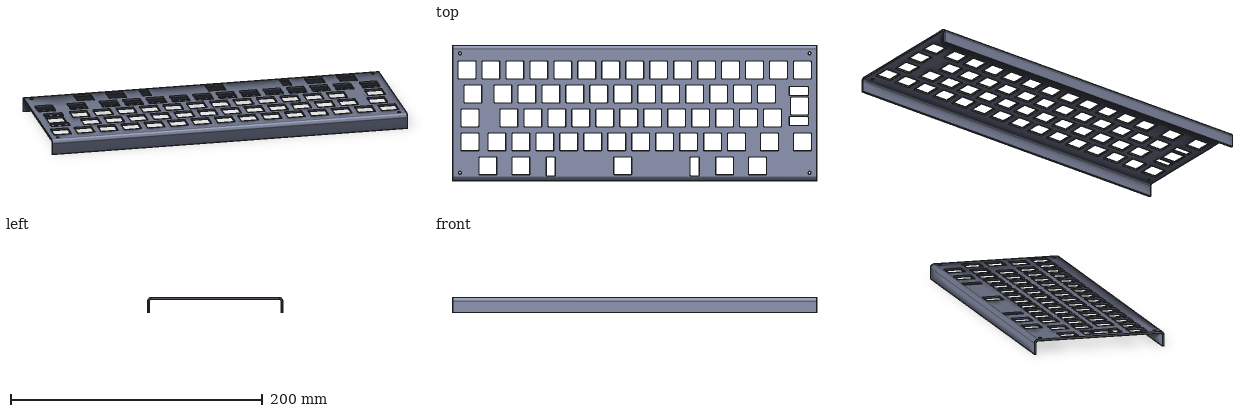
import cadquery as cq

LENGTH = 289.4
WIDTH = 107.58
HEIGHT = 12.08
THICKNESS = 1.5
INNER_BEND_RADIUS = 1.5
OUTER_BEND_RADIUS = INNER_BEND_RADIUS + THICKNESS

CUTTER_HEIGHT = OUTER_BEND_RADIUS
CUTTER_BASE_Z = HEIGHT / 2 - CUTTER_HEIGHT

KEY_UNIT = 19.05
FIRST_KEY_X = -133.39
FIRST_KEY_Y = 34.225
SWITCH_SIZE = 14.0
CUTOUT_CORNER_RADIUS = 0.5

KEY_ROWS = [
    [(0, 15)],
    [(0.25, 1), (1.5, 12)],
    [(0.125, 1), (1.75, 12)],
    [(0.125, 1), (1.25, 11), (12.625, 1), (14, 1)],
    [(0.875, 1), (2.25, 1), (6.5, 1), (10.75, 1), (12.125, 1)],
]
ENTER_COLUMN = 13.875
ENTER_ROW = 1.5
SPACE_COLUMN = 6.5
SPACE_ROW = 4

STABILIZER_WIDTH = 7.0
STABILIZER_LENGTH = 15.0
STABILIZER_OFFSET = 0.5
SPACE_STABILIZER_REACH = 3 * KEY_UNIT
ENTER_STABILIZER_REACH = 11.95

HOLE_DIAMETER = 2.2
HOLE_SPACING_X = 278.0
HOLE_SPACING_Y = 95.0


def bent_sheet():
    """Flat top plate with a flange bent down along each long edge."""
    outer = (
        cq.Workplane("XY")
        .box(LENGTH, WIDTH, HEIGHT)
        .edges("|X and >Z")
        .fillet(OUTER_BEND_RADIUS)
    )
    inner = (
        cq.Workplane("XY")
        .box(LENGTH, WIDTH - 2 * THICKNESS, HEIGHT)
        .edges("|X and >Z")
        .fillet(INNER_BEND_RADIUS)
        .translate((0, 0, -THICKNESS))
    )
    return outer.cut(inner)


def key_position(column, row):
    """Center of the key at a grid column and row."""
    return (FIRST_KEY_X + column * KEY_UNIT, FIRST_KEY_Y - row * KEY_UNIT)


def switch_positions():
    """Centers of all switch cutouts, including the two-row enter key."""
    positions = [key_position(ENTER_COLUMN, ENTER_ROW)]
    for row, runs in enumerate(KEY_ROWS):
        for first_column, count in runs:
            for step in range(count):
                positions.append(key_position(first_column + step, row))
    return positions


def cutouts(positions, size_x, size_y):
    """Round-cornered rectangular cutters reaching down through the top plate."""
    return (
        cq.Workplane("XY")
        .workplane(offset=CUTTER_BASE_Z)
        .pushPoints(positions)
        .rect(size_x, size_y)
        .extrude(CUTTER_HEIGHT)
        .edges("|Z")
        .fillet(CUTOUT_CORNER_RADIUS)
    )


def space_stabilizers():
    """Upright slots left and right of the space bar switch."""
    x, y = key_position(SPACE_COLUMN, SPACE_ROW)
    positions = [(x + side * SPACE_STABILIZER_REACH, y - STABILIZER_OFFSET) for side in (-1, 1)]
    return cutouts(positions, STABILIZER_WIDTH, STABILIZER_LENGTH)


def enter_stabilizers():
    """Sideways slots above and below the enter key switch."""
    x, y = key_position(ENTER_COLUMN, ENTER_ROW)
    positions = [(x - STABILIZER_OFFSET, y + side * ENTER_STABILIZER_REACH) for side in (-1, 1)]
    return cutouts(positions, STABILIZER_LENGTH, STABILIZER_WIDTH)


def mounting_holes():
    """Round cutters at the four corners of the top plate."""
    return (
        cq.Workplane("XY")
        .workplane(offset=CUTTER_BASE_Z)
        .rect(HOLE_SPACING_X, HOLE_SPACING_Y, forConstruction=True)
        .vertices()
        .circle(HOLE_DIAMETER / 2)
        .extrude(CUTTER_HEIGHT)
    )


result = (
    bent_sheet()
    .cut(cutouts(switch_positions(), SWITCH_SIZE, SWITCH_SIZE))
    .cut(space_stabilizers())
    .cut(enter_stabilizers())
    .cut(mounting_holes())
)